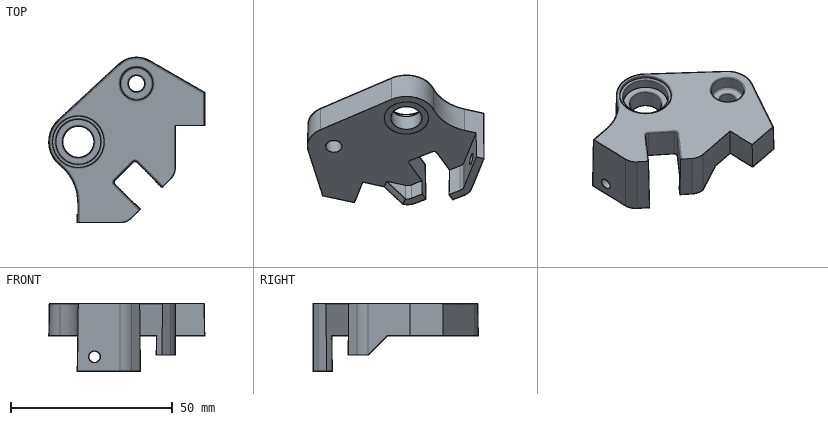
import cadquery as cq
import math

PLATE_HEIGHT = 10.0
LEG_DROP = 11.0
FOOT_DROP = 6.0
FULL_HEIGHT = PLATE_HEIGHT + LEG_DROP
DRAFT = 1.0
EDGE_ROUND = 0.3
FINE_ROUND = 0.2
TOLERANCE = 0.02
EDGE_MARGIN = 1.0
REACH = 100.0

LARGE_LOBE_RADIUS = 9.0
SMALL_LOBE_RADIUS = 8.0
SMALL_BORE_X = 18.0
SMALL_BORE_Y = 18.0
WAIST_RADIUS = 15.0
LEFT_X = 0.0
RIGHT_X = 38.93
SHOULDER_ANGLE = 60.0
FRONT_Y = -25.0
SIDE_X = 30.0
NOTCH_Y = 5.0
DIAGONAL = 40.0
DIAGONAL_ANGLE = 45.0
CORNER_RADIUS = 5.0

SLOT_WIDTH = 10.0
SLOT_DEPTH = 12.0
SLOT_CENTRE = 5.0
SLOT_CORNER_RADIUS = 1.0

SKIRT_THICKNESS = 2.5
LEG_BACK_Y = -17.0
LEG_HOLE_DIAMETER = 3.5
LEG_HOLE_X = 5.0
LEG_HOLE_Z = -6.5

RECESS_RADIUS = 7.95
RECESS_DEPTH = 0.85
LARGE_BORE_RADIUS = 7.0
BUSHING_TOP_DEPTH = 4.0
BUSHING_HOLE_RADIUS = 4.9

SMALL_COUNTERBORE_RADIUS = 5.1
SMALL_COUNTERBORE_DEPTH = 4.6
SMALL_HOLE_RADIUS = 2.6


def polar(centre, radius, degrees):
    angle = math.radians(degrees)
    return (centre[0] + radius * math.cos(angle), centre[1] + radius * math.sin(angle))


def drafted_outline(height):
    """Outline of the drafted walls at a height; it runs past the straight undrafted sides."""
    spread = (PLATE_HEIGHT - height) * math.tan(math.radians(DRAFT))
    large = (0.0, 0.0)
    large_radius = LARGE_LOBE_RADIUS + spread
    small = (SMALL_BORE_X, SMALL_BORE_Y)
    small_radius = SMALL_LOBE_RADIUS + spread
    left_x = LEFT_X - spread
    right_x = RIGHT_X + spread

    lean = math.degrees(math.asin((large_radius - small_radius) / math.hypot(*small)))
    tangent_angle = math.degrees(math.atan2(small[1], small[0])) + 90 - lean

    waist_radius = WAIST_RADIUS - spread
    waist_x = left_x - waist_radius
    waist_y = -math.sqrt((large_radius + waist_radius) ** 2 - waist_x**2)
    waist = (waist_x, waist_y)
    waist_angle = math.degrees(math.atan2(-waist_y, -waist_x))

    shoulder_start = polar(small, small_radius, SHOULDER_ANGLE)
    shoulder_run = right_x - shoulder_start[0]
    shoulder_end_y = shoulder_start[1] - shoulder_run / math.tan(math.radians(SHOULDER_ANGLE))
    below_front = FRONT_Y - CORNER_RADIUS
    return (
        cq.Workplane("XY", origin=(0, 0, height))
        .moveTo(left_x, below_front)
        .lineTo(left_x, waist_y)
        .threePointArc(
            polar(waist, waist_radius, waist_angle / 2),
            polar(waist, waist_radius, waist_angle),
        )
        .threePointArc(polar(large, large_radius, 180), polar(large, large_radius, tangent_angle))
        .lineTo(*polar(small, small_radius, tangent_angle))
        .threePointArc(polar(small, small_radius, 90), shoulder_start)
        .lineTo(right_x, shoulder_end_y)
        .lineTo(right_x, below_front)
        .close()
        .val()
    )


def drafted_envelope():
    outlines = [drafted_outline(-LEG_DROP), drafted_outline(PLATE_HEIGHT)]
    return cq.Workplane(cq.Solid.makeLoft(outlines, True))


def front_sides(inset, back_y):
    """Closed outline whose front, diagonal and side faces lie inset from the part's own."""
    diagonal = DIAGONAL - inset * math.sqrt(2)
    front = FRONT_Y + inset
    side = SIDE_X - inset
    return (
        cq.Workplane("XY")
        .polyline(
            [
                (-REACH, front),
                (diagonal + front, front),
                (side, side - diagonal),
                (side, back_y),
                (-REACH, back_y),
            ]
        )
        .close()
    )


def corner_edges(solid, inset):
    """The two upright edges where the diagonal face meets the front and side faces."""
    diagonal = DIAGONAL - inset * math.sqrt(2)
    corners = [
        (diagonal + FRONT_Y + inset, FRONT_Y + inset),
        (SIDE_X - inset, SIDE_X - inset - diagonal),
    ]
    edges = solid.edges("|Z")
    return edges.filter(
        lambda e: any(math.dist((e.Center().x, e.Center().y), c) < TOLERANCE for c in corners)
    )


def plate_and_skirt():
    outer = front_sides(0, NOTCH_Y).extrude(FULL_HEIGHT)
    outer = corner_edges(outer, 0).fillet(CORNER_RADIUS).translate((0, 0, -LEG_DROP))

    hollow = front_sides(SKIRT_THICKNESS, REACH).extrude(LEG_DROP)
    hollow = corner_edges(hollow, SKIRT_THICKNESS).fillet(CORNER_RADIUS - SKIRT_THICKNESS)
    skirt = outer.cut(hollow.translate((0, 0, -LEG_DROP)))

    foot_back = SIDE_X - DIAGONAL + CORNER_RADIUS * math.tan(math.radians(DIAGONAL_ANGLE / 2))
    profile = (
        cq.Workplane("YZ")
        .polyline(
            [
                (FRONT_Y, PLATE_HEIGHT),
                (FRONT_Y, -LEG_DROP),
                (LEG_BACK_Y, -LEG_DROP),
                (LEG_BACK_Y, -FOOT_DROP),
                (foot_back, -FOOT_DROP),
                (foot_back + FOOT_DROP, 0),
                (REACH, 0),
                (REACH, PLATE_HEIGHT),
            ]
        )
        .close()
        .extrude(REACH, both=True)
    )
    back = (
        cq.Workplane("XY")
        .box(2 * REACH, REACH, PLATE_HEIGHT, centered=(True, False, False))
        .translate((0, NOTCH_Y, 0))
    )
    return drafted_envelope().intersect(skirt.intersect(profile).union(back))


def slot_cutter():
    """Slot narrowing downward, with rounded inner corners; its far end lies outside the part."""
    mouth = ((DIAGONAL + SLOT_CENTRE) / 2, (SLOT_CENTRE - DIAGONAL) / 2, PLATE_HEIGHT)
    slot_plane = cq.Plane(origin=mouth, xDir=(1, -1, 0), normal=(0, 0, 1))
    slot = (
        cq.Workplane(slot_plane)
        .rect(2 * SLOT_DEPTH, SLOT_WIDTH)
        .extrude(-FULL_HEIGHT, taper=DRAFT)
    )
    inner_corners = slot.edges("not #Z").filter(lambda e: e.Center().x - e.Center().y < DIAGONAL)
    return inner_corners.fillet(SLOT_CORNER_RADIUS)


def is_drafted_top_edge(edge):
    """Whether a top edge belongs to a drafted wall, judged by how far inside its middle lies."""
    middle = edge.Center()
    inside_front = middle.y > FRONT_Y + EDGE_MARGIN
    inside_diagonal = middle.x - middle.y < DIAGONAL - EDGE_MARGIN
    inside_side = middle.x < SIDE_X - EDGE_MARGIN
    on_shoulder = middle.y > NOTCH_Y + EDGE_MARGIN and middle.x < RIGHT_X - EDGE_MARGIN
    return on_shoulder or (inside_front and inside_diagonal and inside_side)


def bore_tool(x, y, top, radius, depth, draft=DRAFT):
    """Round tool narrowing downward from height top."""
    return cq.Workplane("XY", origin=(x, y, top)).circle(radius).extrude(-depth, taper=draft)


def narrowed(radius, depth):
    """Radius of a drafted bore at a depth below the height where it has the given radius."""
    return radius - depth * math.tan(math.radians(DRAFT))


def round_rim(body, x, y, height, radius, rounding):
    """Round the circular edge of the given radius about a vertical bore axis."""
    zone = cq.selectors.BoxSelector(
        (x - radius, y - radius, height - TOLERANCE),
        (x + radius, y + radius, height + TOLERANCE),
    )
    rim = body.edges(zone).edges("%CIRCLE").filter(lambda e: abs(e.radius() - radius) < TOLERANCE)
    return rim.fillet(rounding)


def cut_small_counterbore(body):
    axis = (SMALL_BORE_X, SMALL_BORE_Y)
    floor = PLATE_HEIGHT - SMALL_COUNTERBORE_DEPTH
    floor_radius = narrowed(SMALL_COUNTERBORE_RADIUS, SMALL_COUNTERBORE_DEPTH)
    body = body.cut(bore_tool(*axis, PLATE_HEIGHT, SMALL_COUNTERBORE_RADIUS, SMALL_COUNTERBORE_DEPTH))
    body = body.cut(bore_tool(*axis, floor, SMALL_HOLE_RADIUS, floor))
    body = round_rim(body, *axis, PLATE_HEIGHT, SMALL_COUNTERBORE_RADIUS, EDGE_ROUND)
    body = round_rim(body, *axis, floor, floor_radius, EDGE_ROUND)
    return round_rim(body, *axis, floor, SMALL_HOLE_RADIUS, FINE_ROUND)


def cut_large_bore(body):
    ledge = PLATE_HEIGHT - RECESS_DEPTH
    body = body.cut(bore_tool(0, 0, PLATE_HEIGHT, RECESS_RADIUS, RECESS_DEPTH, draft=0))
    body = body.cut(bore_tool(0, 0, ledge, LARGE_BORE_RADIUS, ledge))
    body = round_rim(body, 0, 0, PLATE_HEIGHT, RECESS_RADIUS, FINE_ROUND)
    return round_rim(body, 0, 0, ledge, LARGE_BORE_RADIUS, FINE_ROUND)


def cut_leg_hole(body):
    drill = (
        cq.Workplane("XZ", origin=(LEG_HOLE_X, FRONT_Y, LEG_HOLE_Z))
        .circle(LEG_HOLE_DIAMETER / 2)
        .extrude(-2 * SKIRT_THICKNESS)
    )
    return body.cut(drill)


def make_housing():
    body = plate_and_skirt().cut(slot_cutter())
    body = body.faces(">Z").edges().filter(is_drafted_top_edge).fillet(EDGE_ROUND)
    body = cut_small_counterbore(body)
    body = cut_large_bore(body)
    return cut_leg_hole(body)


def make_bushing():
    """Ring filling the lower part of the large bore, flush with the plate's underside."""
    top = PLATE_HEIGHT - BUSHING_TOP_DEPTH
    top_radius = narrowed(LARGE_BORE_RADIUS, BUSHING_TOP_DEPTH - RECESS_DEPTH)
    ring = bore_tool(0, 0, top, top_radius, top)
    ring = ring.cut(bore_tool(0, 0, top, BUSHING_HOLE_RADIUS, top))
    return round_rim(ring, 0, 0, top, BUSHING_HOLE_RADIUS, FINE_ROUND)


housing = make_housing()
bushing = make_bushing()
result = cq.Compound.makeCompound([housing.val(), bushing.val()])